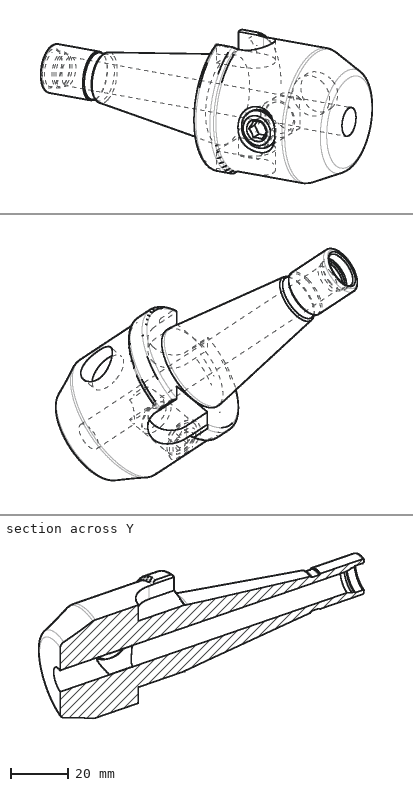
import cadquery as cq
import math


LENGTH = 118.4
SHANK_END = 17.2
NECK_END = 20.4
TAPER_END = 68.9
FLANGE_START = 70.0
FLANGE_FLAT_END = 76.7
BODY_START = 78.5
NOSE_START = 105.3

SHANK_RADIUS = 17.4 / 2
SHANK_ROUND = 1.0
NECK_RADIUS = 8.3
NECK_CHAMFER = 0.7
TAPER_RADIUS = 16.0
FLANGE_RADIUS = 25.1
FLANGE_ROUND = 1.2
BODY_RADIUS = 48.0 / 2
NOSE_ANGLE = 25.0
NOSE_ROUND = 2.4

BORE_RADIUS = 5.1
BORE_CONE_LENGTH = 1.9
STEP_RADIUS = 5.9
STEP_LENGTH = 0.8
STEP_CHAMFER = 0.5
RECESS_RADIUS = 6.4
RECESS_DEPTH = 3.5
MOUTH_CHAMFER = 0.6

SLOT_WIDTH = 16.1
SLOT_FLOOR = 16.2
SLOT_END = 88.0
SLOT_CHAMFER_WIDTH = 1.0
SLOT_CHAMFER_HEIGHT = 0.7

SCREW_X = 94.7
SCREW_RADIUS = 6.9
SCREW_FACE = 23.7
SCREW_LENGTH = 16.0
SCREW_FACE_RADIUS = 5.5
SCREW_TIP_CHAMFER = 1.2
HEX_FLATS = 6.0
HEX_DEPTH = 4.7
HEX_MOUTH_RADIUS = 4.0
SCREW_MOUTH_HALF_LENGTH = 7.3
SCREW_MOUTH_HALF_HEIGHT = 10.0
SCREW_MOUTH_DEPTH = 3.0

SIDE_HOLE_X = 93.3
SIDE_HOLE_RADIUS = 7.3
SIDE_HOLE_DEPTH = 5.9

ARC_MIDDLE_INSET = 1 - math.sqrt(0.5)

CLEARANCE = 1.2


def blend_between_flange_and_body():
    """Return the points of the S-shaped blend: convex middle, join and concave middle.

    A convex arc tangent to the flange rim runs into a concave arc tangent to the body.
    """
    length = BODY_START - FLANGE_FLAT_END
    drop = FLANGE_RADIUS - BODY_RADIUS
    turn = 2 * math.atan(drop / length)
    concave_radius = length / math.sin(turn) - FLANGE_ROUND

    def convex(angle):
        return (
            FLANGE_FLAT_END + FLANGE_ROUND * math.sin(angle),
            FLANGE_RADIUS - FLANGE_ROUND * (1 - math.cos(angle)),
        )

    def concave(angle):
        return (
            BODY_START - concave_radius * math.sin(angle),
            BODY_RADIUS + concave_radius * (1 - math.cos(angle)),
        )

    return convex(turn / 2), convex(turn), concave(turn / 2)


def revolve_about_axis(profile):
    """Close a profile drawn as (X, radius) and turn it about the X axis."""
    return profile.close().revolve(360, (0, 0, 0), (1, 0, 0))


def make_turned_blank():
    """Turn the shank, neck, taper, flange, body and nose in one piece."""
    convex_middle, join, concave_middle = blend_between_flange_and_body()
    shank_corner_offset = SHANK_ROUND * ARC_MIDDLE_INSET
    flange_corner_offset = FLANGE_ROUND * ARC_MIDDLE_INSET
    nose_radius = BODY_RADIUS - (LENGTH - NOSE_START) * math.tan(math.radians(NOSE_ANGLE))
    profile = (
        cq.Workplane("XY")
        .moveTo(0, 0)
        .lineTo(0, SHANK_RADIUS - SHANK_ROUND)
        .threePointArc(
            (shank_corner_offset, SHANK_RADIUS - shank_corner_offset),
            (SHANK_ROUND, SHANK_RADIUS),
        )
        .lineTo(SHANK_END, SHANK_RADIUS)
        .lineTo(SHANK_END + SHANK_RADIUS - NECK_RADIUS, NECK_RADIUS)
        .lineTo(NECK_END, NECK_RADIUS)
        .lineTo(NECK_END + NECK_CHAMFER, NECK_RADIUS + NECK_CHAMFER)
        .lineTo(TAPER_END, TAPER_RADIUS)
        .lineTo(FLANGE_START, TAPER_RADIUS)
        .lineTo(FLANGE_START, FLANGE_RADIUS - FLANGE_ROUND)
        .threePointArc(
            (FLANGE_START + flange_corner_offset, FLANGE_RADIUS - flange_corner_offset),
            (FLANGE_START + FLANGE_ROUND, FLANGE_RADIUS),
        )
        .lineTo(FLANGE_FLAT_END, FLANGE_RADIUS)
        .threePointArc(convex_middle, join)
        .threePointArc(concave_middle, (BODY_START, BODY_RADIUS))
        .lineTo(NOSE_START, BODY_RADIUS)
        .lineTo(LENGTH, nose_radius)
        .lineTo(LENGTH, 0)
    )
    blank = revolve_about_axis(profile)
    nose_edges = cq.selectors.BoxSelector(
        (NOSE_START - CLEARANCE, -FLANGE_RADIUS, -FLANGE_RADIUS),
        (LENGTH + CLEARANCE, FLANGE_RADIUS, FLANGE_RADIUS),
    )
    return blank.edges(nose_edges).edges("%CIRCLE").fillet(NOSE_ROUND)


def make_bore():
    """Make the through bore with its recess, inner step and cone, and chamfered mouth."""
    step_end = RECESS_DEPTH + STEP_CHAMFER + STEP_LENGTH
    profile = (
        cq.Workplane("XY")
        .moveTo(0, 0)
        .lineTo(0, RECESS_RADIUS + MOUTH_CHAMFER)
        .lineTo(MOUTH_CHAMFER, RECESS_RADIUS)
        .lineTo(RECESS_DEPTH, RECESS_RADIUS)
        .lineTo(RECESS_DEPTH + STEP_CHAMFER, STEP_RADIUS)
        .lineTo(step_end, STEP_RADIUS)
        .lineTo(step_end + BORE_CONE_LENGTH, BORE_RADIUS)
        .lineTo(LENGTH, BORE_RADIUS)
        .lineTo(LENGTH, 0)
    )
    return revolve_about_axis(profile)


def make_drive_slot():
    """Make the +Z drive slot: round inner end, flat floor and bevelled rim edges."""
    half_width = SLOT_WIDTH / 2
    end_center = SLOT_END - half_width
    height = FLANGE_RADIUS + CLEARANCE - SLOT_FLOOR
    slot = (
        cq.Workplane("XY", origin=(0, 0, SLOT_FLOOR))
        .moveTo(FLANGE_START, -half_width)
        .lineTo(end_center, -half_width)
        .threePointArc((SLOT_END, 0), (end_center, half_width))
        .lineTo(FLANGE_START, half_width)
        .close()
        .extrude(height)
    )
    bevel_outer = half_width + SLOT_CHAMFER_WIDTH
    bevel_top = math.sqrt(FLANGE_RADIUS**2 - bevel_outer**2)
    bevel_bottom = bevel_top - SLOT_CHAMFER_HEIGHT
    bevel = (
        cq.Workplane("YZ", origin=(FLANGE_START, 0, 0))
        .polyline(
            [
                (-half_width, bevel_bottom),
                (half_width, bevel_bottom),
                (bevel_outer, bevel_top),
                (bevel_outer, FLANGE_RADIUS),
                (-bevel_outer, FLANGE_RADIUS),
                (-bevel_outer, bevel_top),
            ]
        )
        .close()
        .extrude(BODY_START - FLANGE_START)
    )
    return slot.union(bevel)


def make_screw_hole():
    """Make the -Y screw hole down to the bore, with an oval mouth narrowing to the hole."""
    hole = cq.Workplane("XZ", origin=(SCREW_X, 0, 0)).circle(SCREW_RADIUS).extrude(BODY_RADIUS)
    mouth = (
        cq.Workplane("XZ", origin=(SCREW_X, SCREW_MOUTH_DEPTH - BODY_RADIUS, 0))
        .circle(SCREW_RADIUS)
        .workplane(offset=SCREW_MOUTH_DEPTH)
        .ellipse(SCREW_MOUTH_HALF_LENGTH, SCREW_MOUTH_HALF_HEIGHT)
        .loft()
    )
    return hole.union(mouth)


def make_side_hole():
    """Make the blind hole on the +Y side."""
    return (
        cq.Workplane("XZ", origin=(SIDE_HOLE_X, BODY_RADIUS, 0))
        .circle(SIDE_HOLE_RADIUS)
        .extrude(SIDE_HOLE_DEPTH)
    )


def make_holder():
    """Cut the bore, slots and side holes into the turned blank."""
    holder = make_turned_blank().cut(make_bore())
    for side_angle in (0, 180):
        holder = holder.cut(make_drive_slot().rotate((0, 0, 0), (1, 0, 0), side_angle))
    return holder.cut(make_screw_hole()).cut(make_side_hole())


def make_clamping_screw():
    """Make the headless screw with bevelled ends and a hexagon socket."""
    bevel = SCREW_RADIUS - SCREW_FACE_RADIUS
    screw = (
        cq.Workplane("XZ", origin=(SCREW_X, SCREW_LENGTH - SCREW_FACE, 0))
        .circle(SCREW_RADIUS)
        .extrude(SCREW_LENGTH)
        .faces("<Y")
        .chamfer(bevel)
        .faces(">Y")
        .chamfer(SCREW_TIP_CHAMFER)
    )
    hex_corners = HEX_FLATS / math.cos(math.pi / 6)
    socket = (
        cq.Workplane("XZ", origin=(SCREW_X, HEX_DEPTH - SCREW_FACE, 0))
        .polygon(6, hex_corners)
        .extrude(HEX_DEPTH)
    )
    socket_mouth = cq.Workplane("XY").add(
        cq.Solid.makeCone(
            HEX_MOUTH_RADIUS,
            0,
            HEX_MOUTH_RADIUS,
            pnt=cq.Vector(SCREW_X, -SCREW_FACE, 0),
            dir=cq.Vector(0, 1, 0),
        )
    )
    return screw.cut(socket).cut(socket_mouth)


holder = make_holder()
clamping_screw = make_clamping_screw()
result = cq.Compound.makeCompound([holder.solids().val(), clamping_screw.solids().val()])